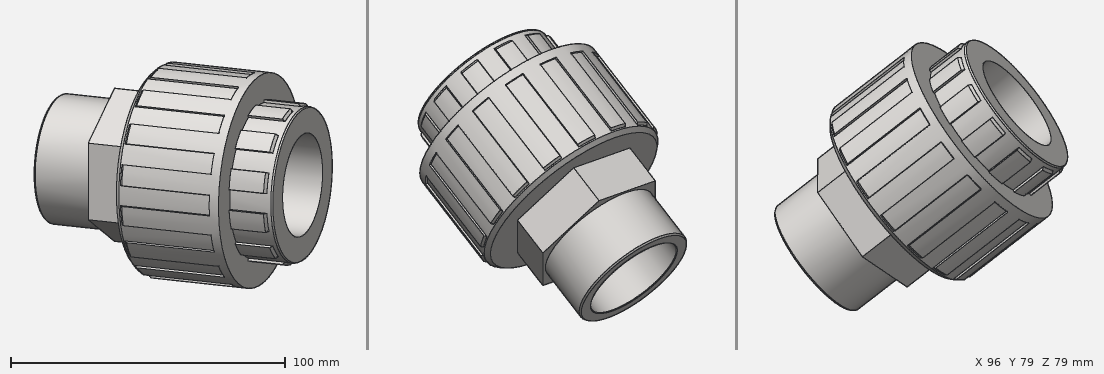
import cadquery as cq
import math

total_length = 96.0

spigot_end = 22.0
hexagon_end = 38.0
grip_end = 75.6
nut_end = 79.2

bore_diameter = 38.1
bore_chamfer = 0.3
spigot_diameter = 47.8

rim_chamfer_length = 0.7
spigot_rim_depth = 0.5
collar_rim_depth = 0.3

hexagon_across_flats = 50.0

nut_diameter = 79.0
nut_root_diameter = 77.4
nut_chamfer = 1.6
nut_rib_start = 40.2
nut_rib_count = 16

collar_diameter = 57.4
collar_rib_diameter = 59.3
collar_rib_end = 93.7
collar_rib_count = 12


def cylinder(diameter, start, end):
    """Solid cylinder on the X axis between two X positions."""
    return cq.Workplane("YZ", origin=(start, 0, 0)).circle(diameter / 2).extrude(end - start)


def wedge(direction, width, reach, start, end):
    """Triangular prism from the X axis out to a reach, centred on a direction; angles in degrees."""
    corners = [(0, 0)]
    for angle in (direction - width / 2, direction + width / 2):
        turn = math.radians(angle)
        corners.append((reach * math.cos(turn), reach * math.sin(turn)))
    return cq.Workplane("YZ", origin=(start, 0, 0)).polyline(corners).close().extrude(end - start)


def grip_ribs(count, root_diameter, diameter, start, end, bevelled_face):
    """Ring of ribs as wide as the gaps between them, with one end bevelled at 45 degrees."""
    pitch = 360 / count
    height = (diameter - root_diameter) / 2
    ring = cylinder(diameter, start, end).faces(bevelled_face).chamfer(height)
    reach = diameter
    sectors = cq.Workplane("YZ")
    for index in range(count):
        sectors = sectors.add(wedge((index + 0.5) * pitch, pitch / 2, reach, start, end))
    return ring.intersect(sectors.combine())


def rim_chamfered(diameter, inner_end, rim, depth):
    """Cylinder from inner_end to rim, tapering slightly over a short length at the rim."""
    radius = diameter / 2
    taper_start = rim + math.copysign(rim_chamfer_length, inner_end - rim)
    profile = [
        (inner_end, 0),
        (inner_end, radius),
        (taper_start, radius),
        (rim, radius - depth),
        (rim, 0),
    ]
    return cq.Workplane("XY").polyline(profile).close().revolve(360, (0, 0, 0), (1, 0, 0))


def spigot():
    return rim_chamfered(spigot_diameter, spigot_end, 0, spigot_rim_depth)


def hexagon():
    across_corners = hexagon_across_flats / math.cos(math.radians(30))
    profile = cq.Workplane("YZ", origin=(spigot_end, 0, 0)).transformed(rotate=(0, 0, 90))
    return profile.polygon(6, across_corners).extrude(hexagon_end - spigot_end)


def union_nut():
    root = cylinder(nut_root_diameter, hexagon_end, grip_end).faces("<X").chamfer(nut_chamfer)
    ribs = grip_ribs(nut_rib_count, nut_root_diameter, nut_diameter, nut_rib_start, grip_end, "<X")
    flange = cylinder(nut_diameter, grip_end, nut_end)
    return root.union(ribs).union(flange)


def collar():
    root = rim_chamfered(collar_diameter, nut_end, total_length, collar_rim_depth)
    ribs = grip_ribs(
        collar_rib_count, collar_diameter, collar_rib_diameter, nut_end, collar_rib_end, ">X"
    )
    return root.union(ribs)


body = spigot().union(hexagon()).union(union_nut()).union(collar())
bored = body.cut(cylinder(bore_diameter, 0, total_length))
result = bored.faces("<X").edges(cq.selectors.RadiusNthSelector(0)).chamfer(bore_chamfer)